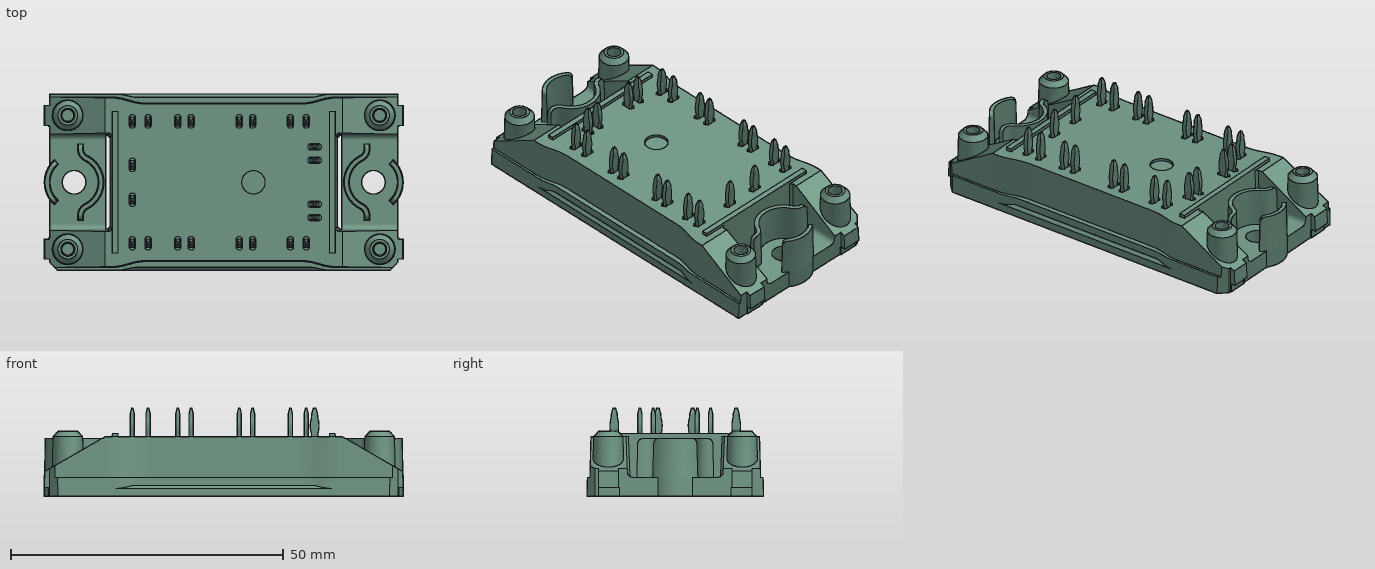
import cadquery as cq
import math

BODY_HALF_X = 32.0
BASE_HALF_Y = 16.25
BASE_HEIGHT = 3.5
HOUSING_HALF_Y = 15.7
HOUSING_TOP = 11.0
OVERHANG = 5.0
SIDE_DRAFT = 1.5
END_SLOPE = 30.0
SLOPE_START_X = 21.78
CORNER_CHAMFER = 1.55

HOUSING_RELIEF_Y = 14.55
HOUSING_RELIEF_OUTER_X = 21.0
HOUSING_RELIEF_INNER_X = 14.0
BASE_RELIEF_Y = 15.65
BASE_RELIEF_OUTER_X = 19.8
BASE_RELIEF_INNER_X = 15.4
BASE_RELIEF_OUTER_Z = 1.45
BASE_RELIEF_INNER_Z = 2.05

POCKET_BACK_X = 20.5
POCKET_HALF_Y = 9.05
POCKET_DRAFT = 2.2
POCKET_CORNER_CHAMFER = 0.45
POCKET_FLOOR_RADIUS = 1.1
SLOT_OUTER_X = 21.65

SCREW_X = 27.5
SCREW_DIAMETER = 4.3
COLLAR_OUTER_RADIUS = 5.5
WALL_THICKNESS = 1.1
WALL_DRAFT = 1.3
WALL_TOP = 10.65
WALL_CORNER_RADIUS = 1.0
OUTER_WALL_HALF_ANGLE = 49.0
TAIL_OFFSET_X = 1.2
TAIL_END_Y = 7.05
TAIL_BEND_RADIUS = 1.8

EAR_END_X = 33.0
EAR_CENTER_Y = 12.27
EAR_WIDTH = 3.7
EAR_BOTTOM = 1.65
EAR_TOP_X = 32.8
EAR_FOOT_X = 32.2
EAR_FOOT_EXTRA_WIDTH = 0.2

BOSS_X = 28.65
BOSS_Y = 12.3
BOSS_BASE_RADIUS = 2.92
BOSS_SHOULDER_RADIUS = 2.72
BOSS_TIP_RADIUS = 1.8
BOSS_TOP = 12.0
BOSS_CONE_HEIGHT = 1.0
BOSS_HOLE_RADIUS = 1.3
BOSS_HOLE_DEPTH = 3.0
BOSS_HOLE_DRAFT = 4.0

BAR_WIDTH = 1.1
BAR_LENGTH = 26.0
BAR_CENTER_X = POCKET_BACK_X - BAR_WIDTH / 2
BAR_HEIGHT = 0.6
DIMPLE_X = 5.45
DIMPLE_DEPTH = 0.5

PIN_TOP = 16.23
PIN_THICKNESS = 0.8
PIN_TIP_THICKNESS = 0.3
PIN_ROOT_WIDTH = 1.16
PIN_BULGE_WIDTH = 1.64
PIN_NECK_WIDTH = 1.24
PIN_SHOULDER_WIDTH = 1.1
PIN_TIP_WIDTH = 0.5
PIN_BULGE_START = 11.4
PIN_BULGE_MIDDLE = 12.8
PIN_BULGE_END = 14.4
PIN_SHOULDER_Z = 15.2
PIN_POCKET_LENGTH = 2.5
PIN_POCKET_WIDTH = 1.2
PIN_POCKET_DEPTH = 0.5
EDGE_PIN_X = (-16.8, -13.9, -8.45, -6.0, 2.85, 5.3, 12.25, 15.15)
EDGE_PIN_Y = 11.2
LEFT_PIN_X = -16.8
LEFT_PIN_Y = 3.2
RIGHT_PIN_X = 16.7
RIGHT_PIN_Y = (4.05, 6.5)

SIGNS = (-1, 1)


def slope_height(x):
    """Height of the sloped housing end at distance x from the middle."""
    return HOUSING_TOP - (x - SLOPE_START_X) * math.tan(math.radians(END_SLOPE))


def relieved_outline(half_y, relief_y, outer_x, inner_x, z):
    """Long plan outline whose sides step inward along the middle through S-curves."""
    far_x = BODY_HALF_X + OVERHANG
    mid_x = (outer_x + inner_x) / 2
    mid_y = (half_y + relief_y) / 2
    sketch = cq.Workplane("XY", origin=(0, 0, z)).moveTo(-far_x, -half_y)
    for s in SIGNS:
        sketch = (
            sketch.lineTo(s * outer_x, s * half_y)
            .tangentArcPoint((s * mid_x, s * mid_y), relative=False)
            .tangentArcPoint((s * inner_x, s * relief_y), relative=False)
            .lineTo(-s * inner_x, s * relief_y)
            .tangentArcPoint((-s * mid_x, s * mid_y), relative=False)
            .tangentArcPoint((-s * outer_x, s * half_y), relative=False)
            .lineTo(-s * far_x, s * half_y)
            .lineTo(-s * far_x, -s * half_y)
        )
    return sketch.close()


def make_base():
    """Base plate whose long sides are relieved above a sloping ledge."""
    base = (
        cq.Workplane("XY")
        .rect(2 * (BODY_HALF_X + OVERHANG), 2 * BASE_HALF_Y)
        .extrude(BASE_HEIGHT, taper=SIDE_DRAFT)
    )
    core = relieved_outline(
        BASE_HALF_Y, BASE_RELIEF_Y, BASE_RELIEF_OUTER_X, BASE_RELIEF_INNER_X, 0
    ).extrude(BASE_HEIGHT, taper=SIDE_DRAFT)
    for s in SIGNS:
        relief = (
            cq.Workplane("YZ", origin=(-BASE_RELIEF_OUTER_X, 0, 0))
            .moveTo(0, BASE_HEIGHT)
            .lineTo(0, BASE_RELIEF_INNER_Z)
            .lineTo(s * BASE_RELIEF_Y, BASE_RELIEF_INNER_Z)
            .lineTo(s * BASE_HALF_Y, BASE_RELIEF_OUTER_Z)
            .lineTo(s * BASE_HALF_Y, BASE_HEIGHT)
            .close()
            .extrude(2 * BASE_RELIEF_OUTER_X)
        )
        base = base.cut(relief.cut(core))
    return base


def make_housing():
    """Drafted housing on the base, still overlong at both ends."""
    return relieved_outline(
        HOUSING_HALF_Y, HOUSING_RELIEF_Y, HOUSING_RELIEF_OUTER_X, HOUSING_RELIEF_INNER_X, BASE_HEIGHT
    ).extrude(HOUSING_TOP - BASE_HEIGHT, taper=SIDE_DRAFT)


def make_end_profile():
    """Side silhouette of the body with both ends sloping down."""
    end_z = slope_height(BODY_HALF_X)
    return (
        cq.Workplane("XZ")
        .polyline([
            (-BODY_HALF_X, 0),
            (BODY_HALF_X, 0),
            (BODY_HALF_X, end_z),
            (SLOPE_START_X, HOUSING_TOP),
            (-SLOPE_START_X, HOUSING_TOP),
            (-BODY_HALF_X, end_z),
        ])
        .close()
        .extrude(BASE_HALF_Y, both=True)
    )


def make_corner_cut(sx):
    """Vertical chamfer cutter for the -Y corner at the given X end."""
    return (
        cq.Workplane("XY")
        .moveTo(sx * BODY_HALF_X, -BASE_HALF_Y)
        .lineTo(sx * (BODY_HALF_X - CORNER_CHAMFER), -BASE_HALF_Y)
        .lineTo(sx * BODY_HALF_X, -BASE_HALF_Y + CORNER_CHAMFER)
        .close()
        .extrude(HOUSING_TOP)
    )


def make_drafted_cavity(depth):
    """Block open toward -X that narrows from the housing top down to the given depth."""
    far_x = BODY_HALF_X + OVERHANG
    return (
        cq.Workplane("XY", origin=(-(far_x + POCKET_BACK_X) / 2, 0, HOUSING_TOP))
        .rect(far_x - POCKET_BACK_X, 2 * POCKET_HALF_Y)
        .extrude(-depth, taper=POCKET_DRAFT)
    )


def make_pocket():
    """Pocket at the -X end: a rounded floor, then a through slot along the back wall."""
    floor_pocket = make_drafted_cavity(HOUSING_TOP - BASE_HEIGHT)
    floor_pocket = floor_pocket.faces("<Z").edges("|X").fillet(POCKET_FLOOR_RADIUS)
    through_slot = make_drafted_cavity(HOUSING_TOP)
    through_slot = through_slot.faces(">X").edges("not |Y").chamfer(POCKET_CORNER_CHAMFER)
    slot_zone = (
        cq.Workplane("XY")
        .center(-SLOT_OUTER_X / 2, 0)
        .rect(SLOT_OUTER_X, 2 * BASE_HALF_Y)
        .extrude(HOUSING_TOP)
    )
    return floor_pocket.cut(slot_zone).union(through_slot.intersect(slot_zone))


def make_outer_wall():
    """Curved wall on the outer side of the -X screw hole."""
    inner_radius = COLLAR_OUTER_RADIUS - WALL_THICKNESS
    half_angle = math.radians(OUTER_WALL_HALF_ANGLE)
    ux = -math.cos(half_angle)
    uy = math.sin(half_angle)
    wall = (
        cq.Workplane("XY", origin=(0, 0, BASE_HEIGHT))
        .moveTo(COLLAR_OUTER_RADIUS * ux, COLLAR_OUTER_RADIUS * uy)
        .threePointArc(
            (-COLLAR_OUTER_RADIUS, 0), (COLLAR_OUTER_RADIUS * ux, -COLLAR_OUTER_RADIUS * uy)
        )
        .lineTo(inner_radius * ux, -inner_radius * uy)
        .threePointArc((-inner_radius, 0), (inner_radius * ux, inner_radius * uy))
        .close()
        .extrude(WALL_TOP - BASE_HEIGHT, taper=WALL_DRAFT)
    )
    wall = wall.faces(">Z").edges("%LINE").fillet(WALL_CORNER_RADIUS)
    return wall.translate((-SCREW_X, 0, 0))


def make_inner_wall():
    """Wall hugging the inner side of the -X screw hole, flaring into two straight tails."""
    path_radius = COLLAR_OUTER_RADIUS - WALL_THICKNESS / 2
    bend_x = TAIL_OFFSET_X + TAIL_BEND_RADIUS
    bend_distance = path_radius + TAIL_BEND_RADIUS
    bend_y = math.sqrt(bend_distance ** 2 - bend_x ** 2)
    far_x = TAIL_OFFSET_X + WALL_THICKNESS / 2
    near_x = TAIL_OFFSET_X - WALL_THICKNESS / 2
    outer_radius = COLLAR_OUTER_RADIUS
    inner_radius = COLLAR_OUTER_RADIUS - WALL_THICKNESS
    outer_meet = (bend_x * outer_radius / bend_distance, bend_y * outer_radius / bend_distance)
    inner_meet = (bend_x * inner_radius / bend_distance, bend_y * inner_radius / bend_distance)
    wall = (
        cq.Workplane("XY", origin=(0, 0, BASE_HEIGHT))
        .moveTo(far_x, -TAIL_END_Y)
        .lineTo(far_x, -bend_y)
        .tangentArcPoint((outer_meet[0], -outer_meet[1]), relative=False)
        .threePointArc((outer_radius, 0), outer_meet)
        .tangentArcPoint((far_x, bend_y), relative=False)
        .lineTo(far_x, TAIL_END_Y)
        .lineTo(near_x, TAIL_END_Y)
        .lineTo(near_x, bend_y)
        .tangentArcPoint(inner_meet, relative=False)
        .threePointArc((inner_radius, 0), (inner_meet[0], -inner_meet[1]))
        .tangentArcPoint((near_x, -bend_y), relative=False)
        .lineTo(near_x, -TAIL_END_Y)
        .close()
        .extrude(WALL_TOP - BASE_HEIGHT, taper=WALL_DRAFT)
    )
    wall = wall.faces(">Z").edges("<Y or >Y").fillet(WALL_CORNER_RADIUS)
    return wall.translate((-SCREW_X, 0, 0))


def make_screw_collar():
    """Round foot under the outer wall, bulging past the -X end face."""
    return (
        cq.Workplane("XY").center(-SCREW_X, 0).circle(COLLAR_OUTER_RADIUS).extrude(BASE_HEIGHT)
    )


def make_ear(side):
    """Ear on the -X end face, on the +Y or -Y side, with a thin foot below it."""
    ear = (
        cq.Workplane("XZ", origin=(0, EAR_CENTER_Y + EAR_WIDTH / 2, 0))
        .moveTo(-BODY_HALF_X, EAR_BOTTOM)
        .lineTo(-EAR_END_X, EAR_BOTTOM)
        .lineTo(-EAR_TOP_X, slope_height(EAR_TOP_X))
        .lineTo(-BODY_HALF_X, slope_height(BODY_HALF_X))
        .close()
        .extrude(EAR_WIDTH)
    )
    foot = cq.Workplane("XY").box(
        EAR_FOOT_X - BODY_HALF_X, EAR_WIDTH + EAR_FOOT_EXTRA_WIDTH, EAR_BOTTOM, centered=False
    ).translate((-EAR_FOOT_X, EAR_CENTER_Y - EAR_WIDTH / 2 - EAR_FOOT_EXTRA_WIDTH, 0))
    ear = ear.union(foot)
    return ear if side > 0 else ear.mirror("XZ")


def make_boss(y):
    """Conical-tipped boss with a blind tapered hole, at the -X end."""
    boss = (
        cq.Workplane("XZ")
        .moveTo(0, BASE_HEIGHT)
        .lineTo(BOSS_BASE_RADIUS, BASE_HEIGHT)
        .lineTo(BOSS_SHOULDER_RADIUS, BOSS_TOP - BOSS_CONE_HEIGHT)
        .lineTo(BOSS_TIP_RADIUS, BOSS_TOP)
        .lineTo(0, BOSS_TOP)
        .close()
        .revolve(360, (0, 0, 0), (0, 1, 0))
    )
    hole = (
        cq.Workplane("XY", origin=(0, 0, BOSS_TOP))
        .circle(BOSS_HOLE_RADIUS)
        .extrude(-BOSS_HOLE_DEPTH, taper=BOSS_HOLE_DRAFT)
    )
    return boss.cut(hole).translate((-BOSS_X, y, 0))


def make_bar():
    """Raised bar whose outer face continues the drafted back wall of the pocket."""
    return (
        cq.Workplane("XY", origin=(-BAR_CENTER_X, 0, HOUSING_TOP))
        .rect(BAR_WIDTH, BAR_LENGTH)
        .extrude(BAR_HEIGHT, taper=POCKET_DRAFT)
    )


def at_both_ends(part):
    return part.union(part.mirror("YZ"))


def pin_places():
    """(x, y, rotation) of every pin; an unrotated pin is wide along Y."""
    places = [(x, s * EDGE_PIN_Y, 0) for x in EDGE_PIN_X for s in SIGNS]
    places += [(LEFT_PIN_X, s * LEFT_PIN_Y, 0) for s in SIGNS]
    places += [(RIGHT_PIN_X, s * y, 90) for y in RIGHT_PIN_Y for s in SIGNS]
    return places


def make_pin():
    """Press-fit pin, bulging in width below a tip that narrows both ways."""
    root_z = HOUSING_TOP - PIN_POCKET_DEPTH
    blade = (
        cq.Workplane("YZ")
        .moveTo(-PIN_ROOT_WIDTH / 2, root_z)
        .lineTo(PIN_ROOT_WIDTH / 2, root_z)
        .lineTo(PIN_ROOT_WIDTH / 2, PIN_BULGE_START)
        .threePointArc((PIN_BULGE_WIDTH / 2, PIN_BULGE_MIDDLE), (PIN_NECK_WIDTH / 2, PIN_BULGE_END))
        .lineTo(PIN_SHOULDER_WIDTH / 2, PIN_SHOULDER_Z)
        .lineTo(PIN_TIP_WIDTH / 2, PIN_TOP)
        .lineTo(-PIN_TIP_WIDTH / 2, PIN_TOP)
        .lineTo(-PIN_SHOULDER_WIDTH / 2, PIN_SHOULDER_Z)
        .lineTo(-PIN_NECK_WIDTH / 2, PIN_BULGE_END)
        .threePointArc((-PIN_BULGE_WIDTH / 2, PIN_BULGE_MIDDLE), (-PIN_ROOT_WIDTH / 2, PIN_BULGE_START))
        .close()
        .extrude(PIN_THICKNESS / 2, both=True)
    )
    edge_profile = (
        cq.Workplane("XZ")
        .moveTo(-PIN_THICKNESS / 2, root_z)
        .lineTo(PIN_THICKNESS / 2, root_z)
        .lineTo(PIN_THICKNESS / 2, PIN_SHOULDER_Z)
        .lineTo(PIN_TIP_THICKNESS / 2, PIN_TOP)
        .lineTo(-PIN_TIP_THICKNESS / 2, PIN_TOP)
        .lineTo(-PIN_THICKNESS / 2, PIN_SHOULDER_Z)
        .close()
        .extrude(PIN_BULGE_WIDTH, both=True)
    )
    return blade.intersect(edge_profile)


def make_pin_pocket():
    """Shallow rounded recess in the housing top around a pin."""
    return (
        cq.Workplane("XY", origin=(0, 0, HOUSING_TOP))
        .slot2D(PIN_POCKET_LENGTH, PIN_POCKET_WIDTH, 90)
        .extrude(-PIN_POCKET_DEPTH)
    )


def place(part, x, y, rotation):
    return part.rotate((0, 0, 0), (0, 0, 1), rotation).translate((x, y, 0))


def make_part():
    body = make_base().union(make_housing()).intersect(make_end_profile())
    body = body.cut(at_both_ends(make_pocket()))
    for s in SIGNS:
        body = body.cut(make_corner_cut(s))

    additions = [make_screw_collar(), make_outer_wall(), make_inner_wall(), make_bar()]
    for s in SIGNS:
        additions.append(make_ear(s))
        additions.append(make_boss(s * BOSS_Y))
    for addition in additions:
        body = body.union(addition).union(addition.mirror("YZ"))

    screw_hole = cq.Workplane("XY").center(-SCREW_X, 0).circle(SCREW_DIAMETER / 2).extrude(BASE_HEIGHT)
    dimple = (
        cq.Workplane("XY", origin=(DIMPLE_X, 0, HOUSING_TOP))
        .circle(SCREW_DIAMETER / 2)
        .extrude(-DIMPLE_DEPTH)
    )
    body = body.cut(at_both_ends(screw_hole)).cut(dimple)

    pin = make_pin()
    pin_pocket = make_pin_pocket()
    for x, y, rotation in pin_places():
        body = body.cut(place(pin_pocket, x, y, rotation))
        body = body.union(place(pin, x, y, rotation))
    return body


result = make_part()